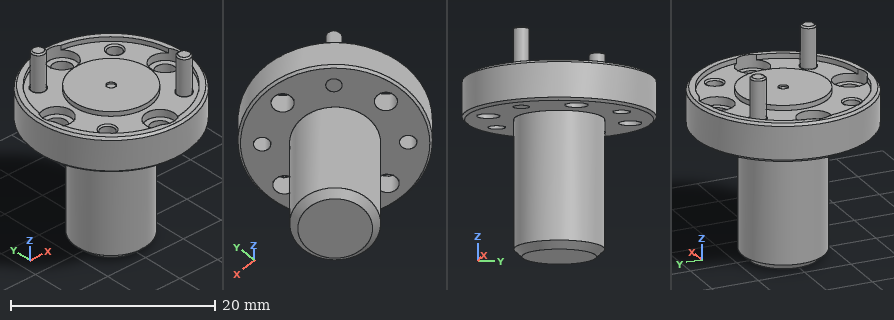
import cadquery as cq
import math

total_height = 21.65
flange_bottom = 13.7
flange_top = 17.77

flange_radius = 9.53
flange_chamfer = 0.25
barrel_radius = 4.45
barrel_chamfer_height = 0.74
barrel_chamfer_width = 0.8

recess_outer_radius = 8.62
boss_radius = 4.76
recess_depth = 0.55
recess_floor = flange_top - recess_depth
center_hole_radius = 0.52
center_hole_depth = 0.2

screw_circle_radius = 7.15
screw_hole_radius = 1.13
counterbore_radius = 1.78
counterbore_depth = 0.89

diagonal_circle_radius = screw_circle_radius
pin_radius = 0.8
pin_chamfer = 0.17
pin_hole_mouth_radius = 0.9
alignment_hole_radius = 0.85
alignment_mouth_radius = 1.02
pin_angles = (135, 315)
alignment_angles = (45, 225)
screw_angles = (0, 90, 180, 270)


def on_circle(radius, angles):
    """Points on a circle about the Z axis, at angles in degrees."""
    return [
        (radius * math.cos(math.radians(a)), radius * math.sin(math.radians(a)))
        for a in angles
    ]


def cylinders(points, radius, bottom, top):
    """Upright cylinders at the given points."""
    return cq.Workplane().workplane(offset=bottom).pushPoints(points).circle(radius).extrude(top - bottom)


def countersunk_hole(point, radius, mouth_radius):
    """Cutter for a hole through the flange with a 45 degree chamfer at the recess floor."""
    mouth_depth = mouth_radius - radius
    profile = [
        (0, flange_bottom),
        (radius, flange_bottom),
        (radius, recess_floor - mouth_depth),
        (mouth_radius, recess_floor),
        (0, recess_floor),
    ]
    cutter = cq.Workplane("XZ").polyline(profile).close().revolve(360, (0, 0), (0, 1))
    return cutter.translate((*point, 0))


def make_blank():
    """Flange and barrel turned in one piece."""
    profile = [
        (0, 0),
        (barrel_radius - barrel_chamfer_width, 0),
        (barrel_radius, barrel_chamfer_height),
        (barrel_radius, flange_bottom),
        (flange_radius - flange_chamfer, flange_bottom),
        (flange_radius, flange_bottom + flange_chamfer),
        (flange_radius, flange_top - flange_chamfer),
        (flange_radius - flange_chamfer, flange_top),
        (0, flange_top),
    ]
    return cq.Workplane("XZ").polyline(profile).close().revolve(360, (0, 0), (0, 1))


def make_housing():
    housing = make_blank()

    recess = (
        cq.Workplane()
        .workplane(offset=recess_floor)
        .circle(recess_outer_radius)
        .circle(boss_radius)
        .extrude(recess_depth)
    )
    center_hole = cylinders([(0, 0)], center_hole_radius, flange_top - center_hole_depth, flange_top)
    housing = housing.cut(recess).cut(center_hole)

    screw_points = on_circle(screw_circle_radius, screw_angles)
    counterbore_floor = recess_floor - counterbore_depth
    housing = housing.cut(cylinders(screw_points, screw_hole_radius, flange_bottom, flange_top))
    housing = housing.cut(cylinders(screw_points, counterbore_radius, counterbore_floor, flange_top))

    for point in on_circle(diagonal_circle_radius, alignment_angles):
        housing = housing.cut(countersunk_hole(point, alignment_hole_radius, alignment_mouth_radius))
    for point in on_circle(diagonal_circle_radius, pin_angles):
        housing = housing.cut(countersunk_hole(point, pin_radius, pin_hole_mouth_radius))
    return housing


def make_pin(point):
    """Alignment pin, flush with the underside of the flange and chamfered on top."""
    pin = cylinders([point], pin_radius, flange_bottom, total_height)
    return pin.faces(">Z").chamfer(pin_chamfer)


housing = make_housing()
pins = [make_pin(point) for point in on_circle(diagonal_circle_radius, pin_angles)]

result = cq.Compound.makeCompound([housing.val(), *[pin.val() for pin in pins]])